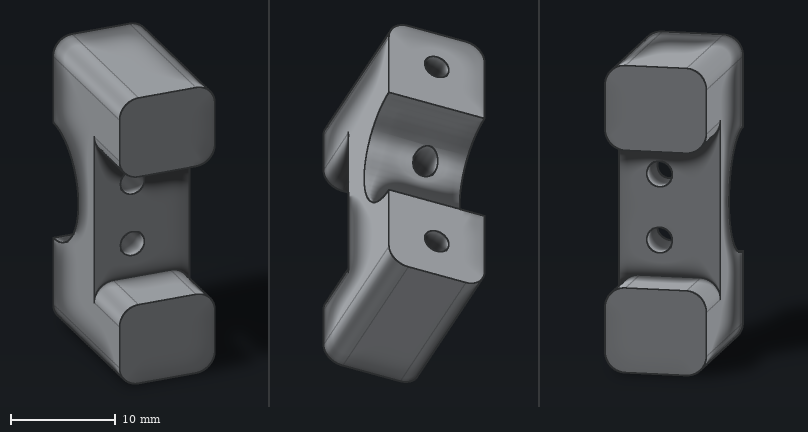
import cadquery as cq

length = 16.1
width = 10.0
height = 30.2
corner_radius = 2.0

saddle_radius = 6.1
web_depth = 9.97
slot_height = 13.53
prong_height = (height - slot_height) / 2

hole_diameter = 2.5
blind_hole_spacing = 21.83
blind_hole_depth = web_depth
through_hole_spacing = 6.5
through_hole_y = -1.0


def rounded_bar(start_x, end_x, bar_height, center_z):
    """Bar along X with its four long edges rounded."""
    return (
        cq.Workplane("YZ", origin=(start_x, 0, center_z))
        .rect(width, bar_height)
        .extrude(end_x - start_x)
        .edges("|X")
        .fillet(corner_radius)
    )


def hole_pair(y, spacing, depth):
    """Two cylinders along X, entering from the saddle face."""
    return (
        cq.Workplane("YZ")
        .pushPoints([(y, -spacing / 2), (y, spacing / 2)])
        .circle(hole_diameter / 2)
        .extrude(depth)
    )


result = rounded_bar(0, web_depth, height, 0)
for side in (-1, 1):
    prong_z = side * (height - prong_height) / 2
    result = result.union(rounded_bar(0, length, prong_height, prong_z))

saddle = cq.Workplane("XZ").circle(saddle_radius).extrude(width / 2, both=True)
result = result.cut(saddle)

result = result.cut(hole_pair(0, blind_hole_spacing, blind_hole_depth))
result = result.cut(hole_pair(through_hole_y, through_hole_spacing, length))